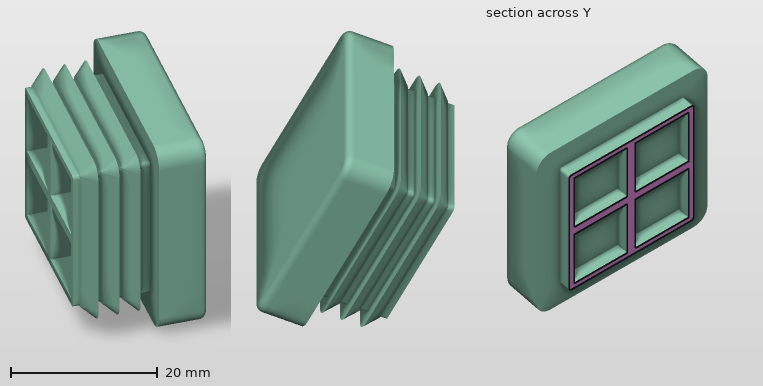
import cadquery as cq

head_width = 30.0
total_depth = 18.0
head_thickness = 7.0
head_corner_radius = 2.5
head_edge_radius = 1.0

stem_width = 22.0
stem_corner_radius = 0.5
stem_length = total_depth - head_thickness

fin_count = 3
fin_pitch = 3.0
fin_reach = 2.0
fin_taper = -45.0
fin_length = fin_reach
first_fin_offset = 1.0

pockets_per_side = 2
outer_wall = 1.0
cross_wall = 1.5
pocket_width = (stem_width - 2 * outer_wall - (pockets_per_side - 1) * cross_wall) / pockets_per_side
pocket_pitch = pocket_width + cross_wall
pocket_depth = stem_length


def workplane_toward_head(y_start):
    """Workplane across the plug axis at y_start that extrudes along +Y."""
    return cq.Workplane(cq.Plane(origin=(0, y_start, 0), xDir=(-1, 0, 0), normal=(0, 1, 0)))


def square_toward_head(width, y_start):
    """Square of the given width centred on the plug axis, ready to extrude along +Y."""
    return workplane_toward_head(y_start).rect(width, width)


def make_head():
    """Head block with rounded corners and a rounded rim on its outer (+Y) face."""
    block = square_toward_head(head_width, stem_length).extrude(head_thickness)
    block = block.edges("|Y").fillet(head_corner_radius)
    return block.faces(">Y").edges().fillet(head_edge_radius)


def make_stem():
    """Solid square stem, from its tip at Y = 0 up to the head."""
    bar = square_toward_head(stem_width, 0).extrude(stem_length)
    return bar.edges("|Y").fillet(stem_corner_radius)


def make_fin(y_start):
    """Barbed fin: flared outward from the stem, with conical corners."""
    return square_toward_head(stem_width, y_start).extrude(fin_length, taper=fin_taper)


def make_pockets():
    """Grid of square pockets, open at the stem tip."""
    grid = workplane_toward_head(0).rarray(pocket_pitch, pocket_pitch, pockets_per_side, pockets_per_side)
    return grid.rect(pocket_width, pocket_width).extrude(pocket_depth)


result = make_head().union(make_stem())
for index in range(fin_count):
    result = result.union(make_fin(first_fin_offset + index * fin_pitch))
result = result.cut(make_pockets())